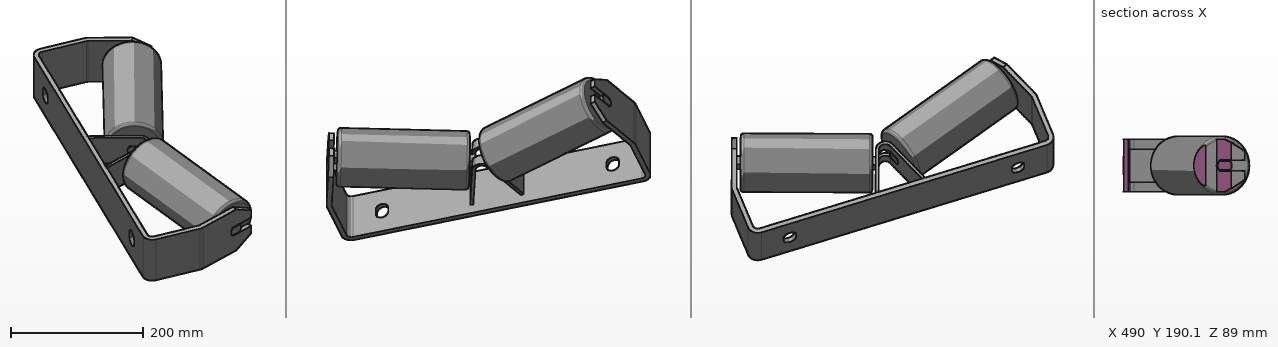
import cadquery as cq
import math

SLOPE = 20.0
SIN = math.sin(math.radians(SLOPE))
COS = math.cos(math.radians(SLOPE))
TAN = math.tan(math.radians(SLOPE))
TAN_HALF = math.tan(math.radians(SLOPE / 2))

FRAME_LENGTH = 490.0
FRAME_HEIGHT = 80.0
FRAME_THICKNESS = 8.0
FRAME_INNER_BEND = 8.0
FRAME_OUTER_BEND = FRAME_INNER_BEND + FRAME_THICKNESS
ELBOW_Y = 89.5
ARM_LENGTH = 99.5
TIP_WIDTH = 44.0
TIP_CUT_LENGTH = 30.0
MOUNT_SPACING = 366.5
MOUNT_WIDTH = 20.0
MOUNT_LENGTH = 26.0

BRACKET_HEIGHT = 50.0
BRACKET_THICKNESS = 5.0
BRACKET_INNER_BEND = 10.0
BRACKET_OUTER_BEND = BRACKET_INNER_BEND + BRACKET_THICKNESS
BRACKET_TOP_Y = 98.0

ROLLER_DIAMETER = 89.0
ROLLER_LENGTH = 200.0
ROLLER_ROUNDING = 5.0
ROLLER_GAP = 5.5
SHAFT_ALONG_ARM = 69.0
SHAFT_DIAMETER = 20.0
SHAFT_FLATS = 14.0
SLOT_WIDTH = 16.0

half_length = FRAME_LENGTH / 2
inner_x = half_length - FRAME_THICKNESS
inner_elbow_y = ELBOW_Y - FRAME_THICKNESS * TAN_HALF
tip_x = half_length - ARM_LENGTH * SIN
tip_y = ELBOW_Y + ARM_LENGTH * COS

arm_to_centre = FRAME_THICKNESS + ROLLER_GAP + ROLLER_LENGTH / 2
roller_x = half_length - SHAFT_ALONG_ARM * SIN - arm_to_centre * COS
roller_y = ELBOW_Y + SHAFT_ALONG_ARM * COS - arm_to_centre * SIN

bend_centre_y = BRACKET_TOP_Y - BRACKET_OUTER_BEND
outer_apex_y = bend_centre_y + BRACKET_OUTER_BEND / SIN
inner_apex_y = bend_centre_y + BRACKET_INNER_BEND / SIN

centre_to_bracket = roller_x * COS - (inner_apex_y - roller_y) * SIN


def mirrored_prism(right_points, height):
    """Prism centred on Z = 0 whose outline is right_points plus their mirror image in X."""
    left_points = [(-x, y) for x, y in reversed(right_points) if x > 0]
    outline = cq.Workplane("XY").polyline(right_points + left_points).close()
    return outline.extrude(height / 2, both=True)


def round_edge(body, x, y, radius):
    """Round the upright edge at (x, y)."""
    return body.edges(cq.selectors.NearestToPointSelector((x, y, 0))).fillet(radius)


def round_both_edges(body, x, y, radius):
    """Round the upright edges at (x, y) and (-x, y)."""
    return round_edge(round_edge(body, x, y, radius), -x, y, radius)


def place_leaning(body, side, x, y):
    """Tilt a body built about the origin by SLOPE and move it to (x, y); side -1 gives the mirror image."""
    placed = body.rotate((0, 0, 0), (0, 0, 1), SLOPE).translate((x, y, 0))
    return placed if side > 0 else placed.mirror("YZ")


def make_shaft():
    """Flatted shaft along X, from the inner bracket face to the outer arm face."""
    length = centre_to_bracket + arm_to_centre
    shaft = cq.Workplane("YZ", origin=(-centre_to_bracket, 0, 0)).circle(SHAFT_DIAMETER / 2).extrude(length)
    flats = cq.Workplane("XY").box(2 * length, SHAFT_DIAMETER, SHAFT_FLATS)
    return shaft.intersect(flats)


def make_roller(side):
    """Drum with rounded rims and its shaft, as one body."""
    start = (-ROLLER_LENGTH / 2, 0, 0)
    drum = cq.Workplane("YZ", origin=start).circle(ROLLER_DIAMETER / 2).extrude(ROLLER_LENGTH)
    drum = drum.faces("<X or >X").edges().fillet(ROLLER_ROUNDING)
    return place_leaning(drum.union(make_shaft()), side, roller_x, roller_y)


def make_shaft_slots(side):
    """Cutter for both slots of one shaft: a round seat, open along the arm and over the bracket fold."""
    length = 2 * (arm_to_centre + FRAME_THICKNESS)
    seat = cq.Workplane("YZ").circle(SHAFT_DIAMETER / 2).extrude(length / 2, both=True)
    seat = seat.intersect(cq.Workplane("XY").box(length, SHAFT_DIAMETER, SLOT_WIDTH))
    run_out = cq.Workplane("XY").box(length, ARM_LENGTH, SLOT_WIDTH, centered=(True, False, True))
    return place_leaning(seat.union(run_out), side, roller_x, roller_y)


def make_tip_cuts(side):
    """Cutter for the two sloping corners at the tip of an arm."""
    half_height = FRAME_HEIGHT / 2
    corner = [
        (ARM_LENGTH - TIP_CUT_LENGTH, half_height),
        (ARM_LENGTH, half_height),
        (ARM_LENGTH, TIP_WIDTH / 2),
    ]
    top = cq.Workplane("YZ").polyline(corner).close().extrude(2 * FRAME_THICKNESS, both=True)
    return place_leaning(top.union(top.mirror("XY")), side, half_length, ELBOW_Y)


def make_frame():
    """Bent strip with cut arm tips, shaft slots and two mounting slots."""
    outer = mirrored_prism([(half_length, 0), (half_length, ELBOW_Y), (tip_x, tip_y)], FRAME_HEIGHT)
    outer = round_both_edges(outer, half_length, 0, FRAME_OUTER_BEND)
    outer = round_both_edges(outer, half_length, ELBOW_Y, FRAME_OUTER_BEND)

    inner_tip = (tip_x - FRAME_THICKNESS * COS, tip_y - FRAME_THICKNESS * SIN)
    cavity = mirrored_prism(
        [(inner_x, FRAME_THICKNESS), (inner_x, inner_elbow_y), inner_tip, (tip_x, tip_y)], FRAME_HEIGHT
    )
    cavity = round_both_edges(cavity, inner_x, FRAME_THICKNESS, FRAME_INNER_BEND)
    cavity = round_both_edges(cavity, inner_x, inner_elbow_y, FRAME_INNER_BEND)
    frame = outer.cut(cavity)

    for side in (-1, 1):
        frame = frame.cut(make_tip_cuts(side)).cut(make_shaft_slots(side))
    mounts = (
        cq.Workplane("XZ")
        .pushPoints([(-MOUNT_SPACING / 2, 0), (MOUNT_SPACING / 2, 0)])
        .slot2D(MOUNT_LENGTH, MOUNT_WIDTH, 90)
        .extrude(-FRAME_THICKNESS)
    )
    return frame.cut(mounts)


def make_bracket():
    """Folded strip standing on the frame, slotted for both shafts."""
    inner_foot_x = (inner_apex_y - FRAME_THICKNESS) * TAN
    inner_foot = (inner_foot_x, FRAME_THICKNESS)
    outer_foot = (inner_foot_x + BRACKET_THICKNESS * COS, FRAME_THICKNESS + BRACKET_THICKNESS * SIN)
    bracket = mirrored_prism([(0, inner_apex_y), inner_foot, outer_foot, (0, outer_apex_y)], BRACKET_HEIGHT)
    bracket = round_edge(bracket, 0, inner_apex_y, BRACKET_INNER_BEND)
    bracket = round_edge(bracket, 0, outer_apex_y, BRACKET_OUTER_BEND)
    for side in (-1, 1):
        bracket = bracket.cut(make_shaft_slots(side))
    return bracket


rollers = [make_roller(side) for side in (-1, 1)]
frame = make_frame()
bracket = make_bracket()
bodies = [frame, bracket, *rollers]
result = cq.Compound.makeCompound([body.solids().val() for body in bodies])